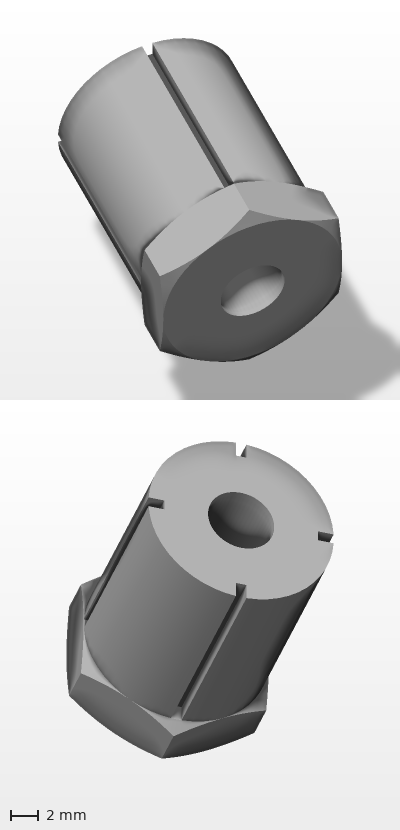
import cadquery as cq
import math

BODY_DIAMETER = 14.0
BODY_LENGTH = 15.0
HEAD_LENGTH = 4.0
HEAD_SIDES = 6
HEAD_ACROSS_FLATS = BODY_DIAMETER
HEAD_CHAMFER_ANGLE = 30.0
BORE_DIAMETER = 5.0
SLOT_COUNT = 4
SLOT_WIDTH = 0.8
SLOT_DEPTH = 1.2

BODY_RADIUS = BODY_DIAMETER / 2
TOTAL_LENGTH = BODY_LENGTH + HEAD_LENGTH
HEAD_FLAT_RADIUS = HEAD_ACROSS_FLATS / 2
HEAD_CORNER_RADIUS = HEAD_FLAT_RADIUS / math.cos(math.pi / HEAD_SIDES)


def make_body():
    return cq.Workplane("YZ").circle(BODY_RADIUS).extrude(BODY_LENGTH)


def make_head():
    """Hexagon with corners on +Z and -Z, its corners turned down at both ends."""
    corners = []
    for i in range(HEAD_SIDES):
        angle = math.pi / 2 + i * 2 * math.pi / HEAD_SIDES
        corners.append((HEAD_CORNER_RADIUS * math.cos(angle), HEAD_CORNER_RADIUS * math.sin(angle)))
    prism = cq.Workplane("YZ").workplane(offset=BODY_LENGTH).polyline(corners).close().extrude(HEAD_LENGTH)

    chamfer_height = HEAD_CORNER_RADIUS - HEAD_FLAT_RADIUS
    chamfer_length = chamfer_height * math.tan(math.radians(HEAD_CHAMFER_ANGLE))
    turned_envelope = (
        cq.Workplane("XY")
        .moveTo(BODY_LENGTH, 0)
        .lineTo(BODY_LENGTH, HEAD_FLAT_RADIUS)
        .lineTo(BODY_LENGTH + chamfer_length, HEAD_CORNER_RADIUS)
        .lineTo(TOTAL_LENGTH - chamfer_length, HEAD_CORNER_RADIUS)
        .lineTo(TOTAL_LENGTH, HEAD_FLAT_RADIUS)
        .lineTo(TOTAL_LENGTH, 0)
        .close()
        .revolve(360, (0, 0, 0), (1, 0, 0))
    )
    return prism.intersect(turned_envelope)


def cut_slots(body):
    """Cut lengthwise slots, evenly spaced around the body and open at its surface."""
    slot = (
        cq.Workplane("XY")
        .box(BODY_LENGTH, SLOT_WIDTH, 2 * SLOT_DEPTH, centered=(False, True, True))
        .translate((0, 0, BODY_RADIUS))
    )
    for i in range(SLOT_COUNT):
        body = body.cut(slot.rotate((0, 0, 0), (1, 0, 0), i * 360 / SLOT_COUNT))
    return body


def make_bore():
    return cq.Workplane("YZ").circle(BORE_DIAMETER / 2).extrude(TOTAL_LENGTH)


result = cut_slots(make_body()).union(make_head()).cut(make_bore())